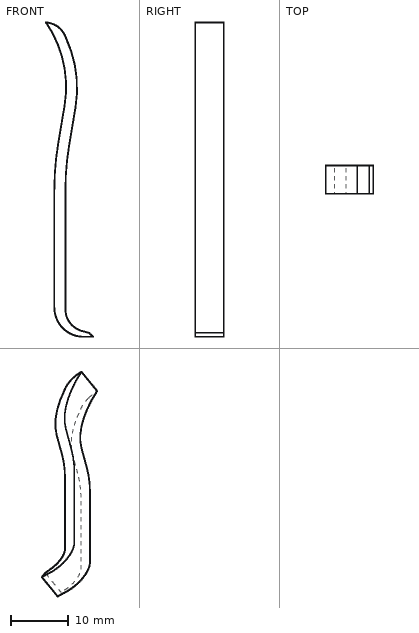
import cadquery as cq
import math

height = 55.05
width = 5.0
thickness = 2.0

shank_x = 1.5
shank_bottom_z = 5.1
shank_top_z = 25.8

neck_tilt = math.radians(9.5)
neck_radius = 47.9

bow_x = 3.5
bow_radius = 18.7
nose_start_z = 52.3
nose_mid = (2.2, 54.2)

hook_tip = (8.3, 0.0)
hook_radius = shank_bottom_z
inner_hook_start_z = 4.6
inner_hook_mid = (4.6, 2.05)
inner_hook_end = (6.6, 1.0)
hook_lip = (7.6, 0.7)


def on_circle(center, radius, angle):
    """Point at the given angle, measured counterclockwise from +X."""
    return (center[0] + radius * math.cos(angle), center[1] + radius * math.sin(angle))


neck_center = (shank_x + neck_radius, shank_top_z)
neck_end = on_circle(neck_center, neck_radius, math.pi - neck_tilt)
bow_start_x = bow_x - bow_radius * (1 - math.cos(neck_tilt))
bow_start_z = neck_end[1] + (bow_start_x - neck_end[0]) / math.tan(neck_tilt)
bow_center = (bow_x - bow_radius, bow_start_z + bow_radius * math.sin(neck_tilt))

inner_neck_radius = neck_radius - thickness
outer_bow_radius = bow_radius + thickness
nose_angle = math.asin((nose_start_z - bow_center[1]) / outer_bow_radius)

tip = (0.0, height)

hook_center = (shank_x + hook_radius, hook_radius)
shank_right_x = shank_x + thickness

profile = (
    cq.Workplane("XZ")
    .moveTo(*hook_tip)
    .lineTo(hook_center[0], 0)
    .threePointArc(on_circle(hook_center, hook_radius, math.radians(225)), (shank_x, shank_bottom_z))
    .lineTo(shank_x, shank_top_z)
    .threePointArc(on_circle(neck_center, neck_radius, math.pi - neck_tilt / 2), neck_end)
    .lineTo(bow_start_x, bow_start_z)
    .tangentArcPoint(tip, relative=False)
    .threePointArc(nose_mid, on_circle(bow_center, outer_bow_radius, nose_angle))
    .threePointArc(
        on_circle(bow_center, outer_bow_radius, 0),
        on_circle(bow_center, outer_bow_radius, -neck_tilt),
    )
    .lineTo(*on_circle(neck_center, inner_neck_radius, math.pi - neck_tilt))
    .threePointArc(
        on_circle(neck_center, inner_neck_radius, math.pi - neck_tilt / 2),
        (shank_right_x, shank_top_z),
    )
    .lineTo(shank_right_x, inner_hook_start_z)
    .threePointArc(inner_hook_mid, inner_hook_end)
    .lineTo(*hook_lip)
    .close()
)

result = profile.extrude(width / 2, both=True)